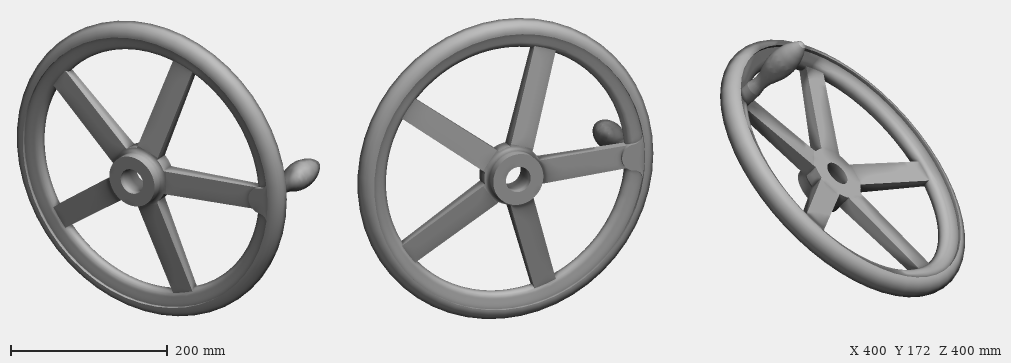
import cadquery as cq
import math


rim_outer_radius = 200.0
rim_inner_radius = 162.8
rim_half_width = 16.0
shoulder_radius = rim_outer_radius - rim_half_width
groove_inner_radius = 171.5
groove_step = 4.5
spoke_slope = 0.17
groove_outer_height = rim_half_width - groove_step
groove_inner_height = groove_outer_height - spoke_slope * (shoulder_radius - groove_inner_radius)

hub_radius = 39.0
nose_radius = 34.0
bore_radius = 16.8
hub_front = -48.0
hub_shoulder = -29.0
hub_back = -10.5
nose_fillet = hub_radius - nose_radius

spoke_count = 5
spoke_root_width = 32.0
spoke_tip_width = 30.5
spoke_start_radius = 24.0
spoke_end_radius = 168.0
spoke_root_thickness = hub_back - hub_shoulder
spoke_tip_thickness = 12.5

handle_offset = 171.0
pad_radius = 17.5
pad_fillet = 12.0
pad_height = 13.5
collar_radius = 11.0
collar_end = 27.0
neck_radius = 9.4
neck_middle = 40.0
body_start_radius = 12.8
body_start = 56.0
body_radius = 18.0
body_middle = 86.8
tip_radius = 5.5
tip_start = 121.5
handle_end = 124.0


def revolve_about_y(profile):
    return profile.close().revolve(360, (0, 0, 0), (0, 1, 0))


def make_rim():
    outline = (
        cq.Workplane("XY")
        .moveTo(shoulder_radius, -rim_half_width)
        .threePointArc((rim_outer_radius, 0), (shoulder_radius, rim_half_width))
        .lineTo(shoulder_radius, groove_outer_height)
        .lineTo(groove_inner_radius, groove_inner_height)
        .threePointArc((rim_inner_radius, 0), (groove_inner_radius, -groove_inner_height))
        .lineTo(shoulder_radius, -groove_outer_height)
    )
    return revolve_about_y(outline)


def make_hub():
    diagonal = nose_fillet * math.sqrt(0.5)
    fillet_middle = (hub_radius - diagonal, hub_shoulder - nose_fillet + diagonal)
    outline = (
        cq.Workplane("XY")
        .moveTo(0, hub_front)
        .lineTo(nose_radius, hub_front)
        .lineTo(nose_radius, hub_shoulder - nose_fillet)
        .threePointArc(fillet_middle, (hub_radius, hub_shoulder))
        .lineTo(hub_radius, hub_back)
        .lineTo(0, hub_back)
    )
    return revolve_about_y(outline)


def make_spoke():
    """One tapered spoke along +X, sloping back from the hub to the rim."""

    def front_at(radius):
        return hub_shoulder + spoke_slope * (radius - hub_radius)

    tip_front = front_at(spoke_end_radius)
    side = (
        cq.Workplane("XY")
        .moveTo(spoke_start_radius, hub_shoulder)
        .lineTo(hub_radius, hub_shoulder)
        .lineTo(spoke_end_radius, tip_front)
        .lineTo(spoke_end_radius, tip_front + spoke_tip_thickness)
        .lineTo(hub_radius, hub_shoulder + spoke_root_thickness)
        .lineTo(spoke_start_radius, hub_back)
        .close()
        .extrude(spoke_root_width, both=True)
    )
    plan = (
        cq.Workplane("XZ")
        .moveTo(spoke_start_radius, -spoke_root_width / 2)
        .lineTo(spoke_end_radius, -spoke_tip_width / 2)
        .lineTo(spoke_end_radius, spoke_tip_width / 2)
        .lineTo(spoke_start_radius, spoke_root_width / 2)
        .close()
        .extrude(rim_outer_radius, both=True)
    )
    return side.intersect(plan)


def make_pad():
    """Flat pad under the handle, flared into the groove's outer wall."""
    center_reach = shoulder_radius - pad_fillet
    center_gap = pad_radius + pad_fillet
    center_x = (center_reach**2 + handle_offset**2 - center_gap**2) / (2 * handle_offset)
    center_z = math.sqrt(center_reach**2 - center_x**2)
    wall_scale = shoulder_radius / center_reach
    wall_x, wall_z = center_x * wall_scale, center_z * wall_scale
    pad_share = pad_radius / center_gap
    pad_x = handle_offset + (center_x - handle_offset) * pad_share
    pad_z = center_z * pad_share
    bisector_x = (wall_x - center_x) + (pad_x - center_x)
    bisector_z = (wall_z - center_z) + (pad_z - center_z)
    bisector_scale = pad_fillet / math.hypot(bisector_x, bisector_z)
    middle_x = center_x + bisector_x * bisector_scale
    middle_z = center_z + bisector_z * bisector_scale
    return (
        cq.Workplane("XZ")
        .moveTo(wall_x, wall_z)
        .threePointArc((middle_x, middle_z), (pad_x, pad_z))
        .threePointArc((handle_offset - pad_radius, 0), (pad_x, -pad_z))
        .threePointArc((middle_x, -middle_z), (wall_x, -wall_z))
        .threePointArc((shoulder_radius, 0), (wall_x, wall_z))
        .close()
        .extrude(pad_height)
    )


def make_handle():
    outline = (
        cq.Workplane("XY")
        .lineTo(collar_radius, 0)
        .lineTo(collar_radius, collar_end)
        .threePointArc((neck_radius, neck_middle), (body_start_radius, body_start))
        .threePointArc((body_radius, body_middle), (tip_radius, tip_start))
        .lineTo(0, handle_end)
    )
    return revolve_about_y(outline).translate((handle_offset, 0, 0))


result = make_rim().union(make_hub())
spoke = make_spoke()
for index in range(spoke_count):
    angle = index * 360 / spoke_count
    result = result.union(spoke.rotate((0, 0, 0), (0, 1, 0), angle))
result = result.union(make_pad()).union(make_handle())

bore = cq.Workplane("XZ").circle(bore_radius).extrude(rim_outer_radius, both=True)
result = result.cut(bore)